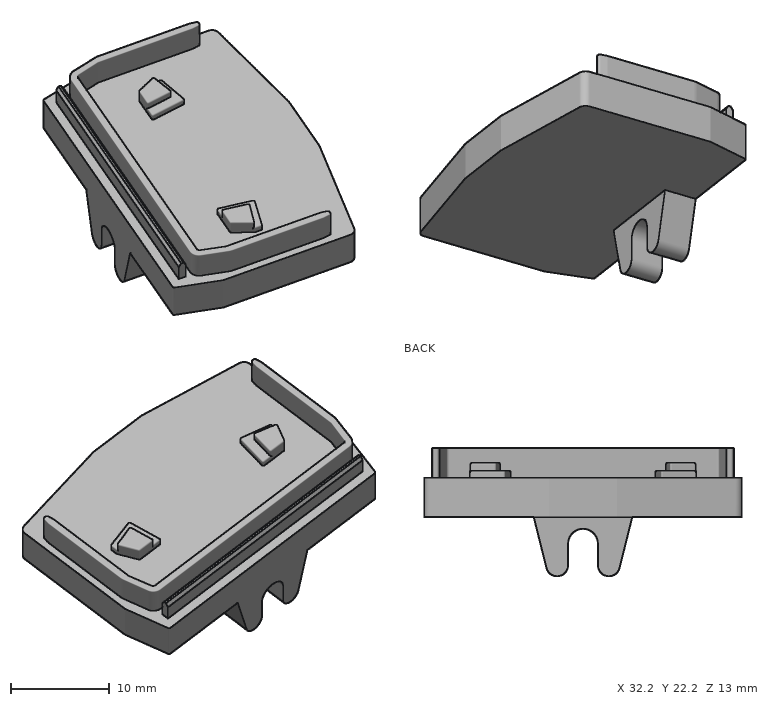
import cadquery as cq
import math

base_half_width = 16.1
base_depth = 22.2
base_thickness = 4.0
base_front_half_width = 14.8
base_side_start = 5.05
base_side_end = 20.05
base_rear_half_flat = 3.45
base_front_corner_radius = 0.2
base_rear_corner_radius = 0.8

wall_height = 3.0
wall_half_width = 15.3
wall_thickness = 0.8
wall_front = 2.52
wall_front_half_width = 14.33
wall_bend = 6.3
wall_inner_bend = 6.1
wall_inner_front_half_width = 13.75
wall_taper_start = 16.8
wall_rear = 17.7
wall_tip_inset = 0.15
wall_tip_radius = 0.2
wall_corner_radius = 1.05
wall_inner_corner_radius = 0.3
wall_bend_radius = 1.7
wall_top_radius = 0.1

rib_half_length = 13.95
rib_front = 1.05
rib_thickness = 0.8
rib_height = 2.15
rib_chamfer_width = 0.28
rib_chamfer_height = 0.4

fork_length = 6.0
fork_depth = 3.65
fork_root_half_width = 5.0
fork_flank_slope = 0.25
slot_radius = 1.5
slot_height = 4.8

step_corners = [(-10.4, 8.65), (-7.3, 8.65), (-7.92, 12.63), (-11.48, 11.73), (-11.48, 10.85)]
block_corners = [(-10.4, 8.65), (-8.37, 8.65), (-8.83, 11.6), (-11.48, 10.85)]
step_height = 0.7
block_height = 1.5
block_edge_radius = 0.18


def mirrored(points):
    """Reflect points about X = 0, in reverse order so an outline can continue through them."""
    return [(-x, y) for x, y in reversed(points)]


def select_uprights(body, corners):
    """Pick the vertical edges that stand at the given XY corners and at their mirror images."""
    reach = 0.01
    box = cq.selectors.BoxSelector
    picked = None
    for x, y in corners + mirrored(corners):
        low = (x - reach, y - reach, -base_thickness)
        high = (x + reach, y + reach, base_thickness + 2 * wall_height)
        picked = box(low, high) if picked is None else picked + box(low, high)
    return body.edges("|Z").edges(picked)


def make_base():
    front_corner = (base_front_half_width, 0)
    rear_corner = (base_half_width, base_side_end)
    right_side = [
        front_corner,
        (base_half_width, base_side_start),
        rear_corner,
        (base_rear_half_flat, base_depth),
    ]
    base = cq.Workplane("XY").polyline(right_side + mirrored(right_side)).close().extrude(base_thickness)
    base = select_uprights(base, [front_corner]).fillet(base_front_corner_radius)
    return select_uprights(base, [rear_corner]).fillet(base_rear_corner_radius)


def make_wall():
    inner_half_width = wall_half_width - wall_thickness
    front_corner = (wall_front_half_width, wall_front)
    bend = (wall_half_width, wall_bend)
    tips = [(wall_half_width - wall_tip_inset, wall_rear), (inner_half_width + wall_tip_inset, wall_rear)]
    inner_corner = (wall_inner_front_half_width, wall_front + wall_thickness)
    right_side = [
        front_corner,
        bend,
        (wall_half_width, wall_taper_start),
        *tips,
        (inner_half_width, wall_taper_start),
        (inner_half_width, wall_inner_bend),
        inner_corner,
    ]
    wall = (
        cq.Workplane("XY", origin=(0, 0, base_thickness))
        .polyline(right_side + mirrored(right_side))
        .close()
        .extrude(wall_height)
    )
    wall = select_uprights(wall, [front_corner]).fillet(wall_corner_radius)
    wall = select_uprights(wall, [bend]).fillet(wall_bend_radius)
    wall = select_uprights(wall, tips).fillet(wall_tip_radius)
    wall = select_uprights(wall, [inner_corner]).fillet(wall_inner_corner_radius)
    return wall.faces(">Z").edges().fillet(wall_top_radius)


def make_rib():
    rib_rear = rib_front + rib_thickness
    rib_top = base_thickness + rib_height
    shoulder = rib_top - rib_chamfer_height
    profile = [
        (rib_front, base_thickness),
        (rib_front, shoulder),
        (rib_front + rib_chamfer_width, rib_top),
        (rib_rear - rib_chamfer_width, rib_top),
        (rib_rear, shoulder),
        (rib_rear, base_thickness),
    ]
    return cq.Workplane("YZ").polyline(profile).close().extrude(rib_half_length, both=True)


def make_fork():
    flank_stretch = math.hypot(1, fork_flank_slope)
    prong_width = fork_root_half_width - slot_radius - fork_flank_slope * fork_length
    tip_radius = prong_width / (1 + flank_stretch - fork_flank_slope)
    tip_x = slot_radius + tip_radius
    tip_z = tip_radius - fork_length
    flank_tangent = (tip_x + tip_radius / flank_stretch, tip_z - tip_radius * fork_flank_slope / flank_stretch)
    slot_spring = slot_height - slot_radius - fork_length
    return (
        cq.Workplane("XZ")
        .moveTo(-fork_root_half_width, 0)
        .lineTo(-flank_tangent[0], flank_tangent[1])
        .threePointArc((-tip_x, -fork_length), (-slot_radius, tip_z))
        .lineTo(-slot_radius, slot_spring)
        .threePointArc((0, slot_spring + slot_radius), (slot_radius, slot_spring))
        .lineTo(slot_radius, tip_z)
        .threePointArc((tip_x, -fork_length), flank_tangent)
        .lineTo(fork_root_half_width, 0)
        .close()
        .extrude(-fork_depth)
    )


def make_rounded_block(corners, height):
    block = cq.Workplane("XY", origin=(0, 0, base_thickness)).polyline(corners).close().extrude(height)
    return block.edges("|Z or >Z").fillet(block_edge_radius)


def make_locating_block():
    step = make_rounded_block(step_corners, step_height)
    return step.union(make_rounded_block(block_corners, block_height))


left_block = make_locating_block()
result = (
    make_base()
    .union(make_wall())
    .union(make_rib())
    .union(make_fork())
    .union(left_block)
    .union(left_block.mirror("YZ"))
)